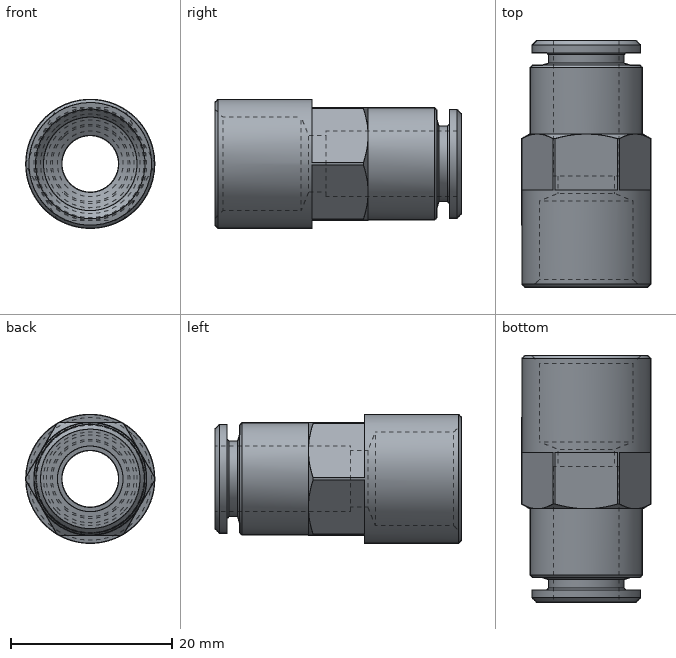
import cadquery as cq
import math


length = 30.6
outer_radius = 16.0 / 2
front = -length / 2
back = length / 2

barrel_length = 12.05
barrel_chamfer = 0.4
mouth_radius = 13.6 / 2
socket_radius = 11.6 / 2
socket_depth = 10.7
socket_floor_slope = math.radians(22)

hex_across_flats = 14.0
hex_end = 3.7
hex_bevel_slope = math.radians(30)

sleeve_radius = 13.92 / 2
sleeve_end = 12.25
sleeve_chamfer = 0.3
seat_radius = 5.45
seat_height = 0.25

neck_radius = 9.4 / 2
flange_radius = 13.5 / 2
flange_thickness = 1.53
flange_chamfer = 0.58
neck_flare_width = 0.2
neck_flare_length = 0.25

through_radius = 7.0 / 2
tube_radius = 8.15 / 2
tube_depth = 16.83


def revolve_profile(points):
    """Turn a closed (radius, y) outline about the Y axis."""
    return cq.Workplane("XY").polyline(points).close().revolve(360, (0, 0, 0), (0, 1, 0))


def make_barrel():
    barrel_end = front + barrel_length
    return revolve_profile([
        (0, front),
        (outer_radius - barrel_chamfer, front),
        (outer_radius, front + barrel_chamfer),
        (outer_radius, barrel_end),
        (0, barrel_end),
    ])


def make_hexagon():
    """Hexagon with corners on the X axis, trimmed by the barrel radius and bevelled at the back."""
    hex_start = front + barrel_length
    flat_radius = hex_across_flats / 2
    corner_diameter = hex_across_flats / math.cos(math.pi / 6)
    prism = (
        cq.Workplane("XZ", origin=(0, hex_end, 0))
        .polygon(6, corner_diameter)
        .extrude(hex_end - hex_start)
    )
    bevel_length = (outer_radius - flat_radius) * math.tan(hex_bevel_slope)
    envelope = revolve_profile([
        (0, hex_start),
        (outer_radius, hex_start),
        (outer_radius, hex_end - bevel_length),
        (flat_radius, hex_end),
        (0, hex_end),
    ])
    return prism.intersect(envelope)


def make_sleeve():
    """Sleeve with a chamfered end and a low conical seat around the collar neck."""
    return revolve_profile([
        (0, hex_end),
        (sleeve_radius, hex_end),
        (sleeve_radius, sleeve_end - sleeve_chamfer),
        (sleeve_radius - sleeve_chamfer, sleeve_end),
        (seat_radius, sleeve_end),
        (neck_radius, sleeve_end + seat_height),
        (0, sleeve_end + seat_height),
    ])


def make_collar():
    """Neck that flares into a chamfered push flange."""
    flange_start = back - flange_thickness
    return revolve_profile([
        (0, sleeve_end),
        (neck_radius, sleeve_end),
        (neck_radius, flange_start - neck_flare_length),
        (neck_radius + neck_flare_width, flange_start),
        (flange_radius, flange_start),
        (flange_radius, back - flange_chamfer),
        (flange_radius - flange_chamfer, back),
        (0, back),
    ])


def make_passages():
    """Countersunk socket with a conical floor, a narrow through bore and the tube bore."""
    countersink_depth = mouth_radius - socket_radius
    socket_end = front + socket_depth
    floor_length = (socket_radius - through_radius) * math.tan(socket_floor_slope)
    tube_stop = back - tube_depth
    return revolve_profile([
        (0, front),
        (mouth_radius, front),
        (socket_radius, front + countersink_depth),
        (socket_radius, socket_end),
        (through_radius, socket_end + floor_length),
        (through_radius, tube_stop),
        (tube_radius, tube_stop),
        (tube_radius, back),
        (0, back),
    ])


body = make_barrel().union(make_hexagon()).union(make_sleeve()).union(make_collar())
result = body.cut(make_passages())